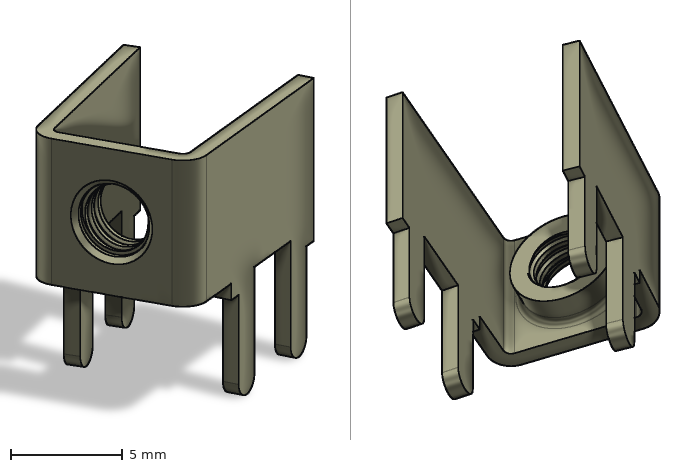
import cadquery as cq
import math

thickness = 0.8
plate_height = 7.1
plate_width = 5.94
plate_half_width = plate_width / 2
inner_bend_radius = 0.39
outer_bend_radius = inner_bend_radius + thickness
splay_angle = 3.0
overall_depth = 11.52
splay = math.radians(splay_angle)
wall_length = (overall_depth - outer_bend_radius + inner_bend_radius * math.sin(splay)) / math.cos(splay)

overall_height = 13.0
leg_width = 1.53
leg_radius = leg_width / 2
leg_pitch = 5.0
first_leg_position = 3.87
shoulder_start = 2.4
shoulder_drop = 0.8
leg_drop = overall_height - plate_height

collar_diameter = 5.14
collar_end = 2.29
collar_fillet = 0.35
selection_margin = 0.01
hole_height = plate_height / 2
bore_diameter = 3.15
countersink_diameter = 4.03
relief_diameter = 3.51
countersink_depth = 0.26
relief_end = 0.5
thread_diameter = 3.48
thread_pitch = 0.7
thread_root_width = 0.21
thread_mouth_width = 0.5
bore_overlap = 0.05


def bend_point(radius, angle):
    """Point on the right-hand bend; angle is measured from the +X direction."""
    return (
        plate_half_width + radius * math.cos(angle),
        outer_bend_radius + radius * math.sin(angle),
    )


def make_plate():
    plate = cq.Workplane("XY").box(
        plate_width, thickness, plate_height, centered=(True, False, False)
    )
    face = cq.Workplane("XZ", origin=(0, thickness, hole_height))
    collar = face.circle(collar_diameter / 2).extrude(thickness - collar_end)
    plate = plate.union(collar)
    collar_root = cq.selectors.BoxSelector(
        (-collar_diameter, thickness - selection_margin, 0),
        (collar_diameter, thickness + selection_margin, plate_height),
    )
    return plate.edges("%CIRCLE").edges(collar_root).fillet(collar_fillet)


def make_bend():
    start = -math.pi / 2
    end = -splay
    middle = (start + end) / 2
    return (
        cq.Workplane("XY")
        .moveTo(*bend_point(outer_bend_radius, start))
        .threePointArc(bend_point(outer_bend_radius, middle), bend_point(outer_bend_radius, end))
        .lineTo(*bend_point(inner_bend_radius, end))
        .threePointArc(bend_point(inner_bend_radius, middle), bend_point(inner_bend_radius, start))
        .close()
        .extrude(plate_height)
    )


def make_wall():
    """Side wall with its two round-ended legs, cut square to the sheet."""
    front_leg = first_leg_position
    rear_leg = front_leg + leg_pitch
    leg_bottom = -leg_drop
    tip_start = leg_bottom + leg_radius
    tangent = (math.sin(splay), math.cos(splay), 0)
    normal = (math.cos(splay), -math.sin(splay), 0)
    plane = cq.Plane(
        origin=(*bend_point(inner_bend_radius, -splay), 0), xDir=tangent, normal=normal
    )
    return (
        cq.Workplane(plane)
        .moveTo(0, plate_height)
        .lineTo(0, 0)
        .lineTo(shoulder_start, 0)
        .lineTo(shoulder_start, -shoulder_drop)
        .lineTo(front_leg - leg_radius, -shoulder_drop)
        .lineTo(front_leg - leg_radius, tip_start)
        .threePointArc((front_leg, leg_bottom), (front_leg + leg_radius, tip_start))
        .lineTo(front_leg + leg_radius, 0)
        .lineTo(rear_leg - leg_radius, 0)
        .lineTo(rear_leg - leg_radius, tip_start)
        .threePointArc((rear_leg, leg_bottom), (rear_leg + leg_radius, tip_start))
        .lineTo(rear_leg + leg_radius, -shoulder_drop)
        .lineTo(wall_length, -shoulder_drop)
        .lineTo(wall_length, plate_height)
        .close()
        .extrude(thickness)
    )


def make_bore():
    """Bore, entry relief and front countersink, revolved about the hole axis."""
    return (
        cq.Workplane("XY", origin=(0, 0, hole_height))
        .lineTo(countersink_diameter / 2, 0)
        .lineTo(relief_diameter / 2, countersink_depth)
        .lineTo(relief_diameter / 2, relief_end)
        .lineTo(bore_diameter / 2, relief_end)
        .lineTo(bore_diameter / 2, collar_end)
        .lineTo(0, collar_end)
        .close()
        .revolve(360, (0, 0, 0), (0, 1, 0))
    )


def make_thread_groove():
    """Helical groove that runs out past both ends of the bore."""
    inner_radius = bore_diameter / 2 - bore_overlap
    groove_length = collar_end + 2 * thread_pitch
    path = cq.Wire.makeHelix(thread_pitch, groove_length, inner_radius)
    groove = (
        cq.Workplane("XZ")
        .moveTo(inner_radius, -thread_mouth_width / 2)
        .lineTo(thread_diameter / 2, -thread_root_width / 2)
        .lineTo(thread_diameter / 2, thread_root_width / 2)
        .lineTo(inner_radius, thread_mouth_width / 2)
        .close()
        .sweep(cq.Workplane(path), isFrenet=True)
    )
    return groove.rotate((0, 0, 0), (1, 0, 0), -90).translate((0, -thread_pitch, hole_height))


side = make_bend().union(make_wall())
bracket = make_plate().union(side).union(side.mirror("YZ"))
result = bracket.cut(make_bore()).cut(make_thread_groove())